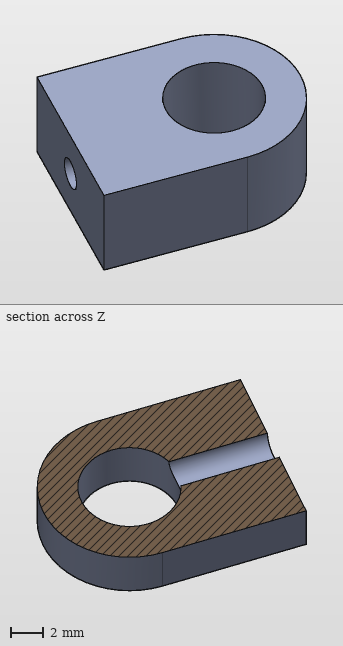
import cadquery as cq

length = 15.24
width = 11.43
thickness = 6.35
bore_diameter = 6.35
cross_hole_diameter = 2.05

end_radius = width / 2
flat_end_y = end_radius - length

body = (
    cq.Workplane("XY")
    .moveTo(-end_radius, flat_end_y)
    .lineTo(end_radius, flat_end_y)
    .lineTo(end_radius, 0)
    .threePointArc((0, end_radius), (-end_radius, 0))
    .close()
    .extrude(thickness / 2, both=True)
)

bore = cq.Workplane("XY").circle(bore_diameter / 2).extrude(thickness / 2, both=True)

cross_hole = (
    cq.Workplane("XZ", origin=(0, flat_end_y, 0))
    .circle(cross_hole_diameter / 2)
    .extrude(flat_end_y)
)

result = body.cut(bore).cut(cross_hole)